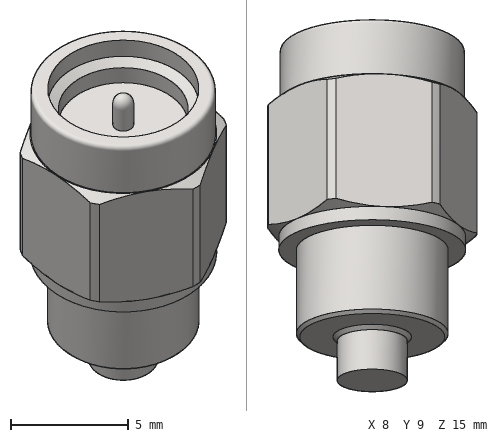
import cadquery as cq
import math

TOTAL_HEIGHT = 15
BODY_BOTTOM = 1.96
COLLAR_BOTTOM = 5.9
HEX_BOTTOM = 6.5
HEX_TOP = 12.5

CABLE_RADIUS = 1.5
BODY_RADIUS = 6.5 / 2
SLEEVE_RADIUS = 3.95
BODY_CHAMFER = 0.15
NECK_FLARE = 0.18
SLEEVE_FILLET = 0.2

HEX_SIDES = 6
HEX_ACROSS_FLATS = 8.0
HEX_CORNER_RADIUS = 4.5
HEX_CHAMFER_ANGLE = 30
COLLAR_RADIUS = HEX_ACROSS_FLATS / 2

SOCKET_RADIUS = 3.22
SOCKET_SEAT_RADIUS = 2.78
SOCKET_SEAT_ANGLE = 30
SOCKET_STEP_DEPTH = 0.9
SOCKET_DEPTH = 2.0

PIN_RADIUS = 0.45
PIN_TIP_DEPTH = 0.38


def revolve_profile(points):
    """Turn a closed (radius, height) outline about the Z axis."""
    profile = cq.Workplane("XZ").polyline(points).close()
    return profile.revolve(360, (0, 0, 0), (0, 1, 0))


def turned_body():
    """Cable stub, flared neck, body, collar and sleeve with its rounded rim."""
    body = revolve_profile([
        (0, 0),
        (CABLE_RADIUS, 0),
        (CABLE_RADIUS, BODY_BOTTOM - NECK_FLARE),
        (CABLE_RADIUS + NECK_FLARE, BODY_BOTTOM),
        (BODY_RADIUS - BODY_CHAMFER, BODY_BOTTOM),
        (BODY_RADIUS, BODY_BOTTOM + BODY_CHAMFER),
        (BODY_RADIUS, COLLAR_BOTTOM),
        (COLLAR_RADIUS, COLLAR_BOTTOM),
        (COLLAR_RADIUS, HEX_BOTTOM),
        (SLEEVE_RADIUS, HEX_BOTTOM),
        (SLEEVE_RADIUS, TOTAL_HEIGHT),
        (0, TOTAL_HEIGHT),
    ])
    return body.faces(">Z").edges().fillet(SLEEVE_FILLET)


def hex_nut():
    """Hexagon with flats facing +X and -X, trimmed by a turned, chamfered blank."""
    half_side_angle = 180 / HEX_SIDES
    corner_diameter = HEX_ACROSS_FLATS / math.cos(math.radians(half_side_angle))
    hexagon = (
        cq.Workplane("XY")
        .workplane(offset=HEX_BOTTOM)
        .polygon(HEX_SIDES, corner_diameter)
        .extrude(HEX_TOP - HEX_BOTTOM)
        .rotate((0, 0, 0), (0, 0, 1), half_side_angle)
    )
    chamfer_width = HEX_CORNER_RADIUS - COLLAR_RADIUS
    chamfer_height = chamfer_width * math.tan(math.radians(HEX_CHAMFER_ANGLE))
    blank = revolve_profile([
        (0, HEX_BOTTOM),
        (COLLAR_RADIUS, HEX_BOTTOM),
        (HEX_CORNER_RADIUS, HEX_BOTTOM + chamfer_height),
        (HEX_CORNER_RADIUS, HEX_TOP - chamfer_height),
        (COLLAR_RADIUS, HEX_TOP),
        (0, HEX_TOP),
    ])
    return hexagon.intersect(blank)


def socket():
    """Bore that narrows through a conical seat to a flat floor."""
    step_height = TOTAL_HEIGHT - SOCKET_STEP_DEPTH
    seat_drop = (SOCKET_RADIUS - SOCKET_SEAT_RADIUS) * math.tan(math.radians(SOCKET_SEAT_ANGLE))
    floor_height = TOTAL_HEIGHT - SOCKET_DEPTH
    return revolve_profile([
        (0, floor_height),
        (SOCKET_SEAT_RADIUS, floor_height),
        (SOCKET_SEAT_RADIUS, step_height - seat_drop),
        (SOCKET_RADIUS, step_height),
        (SOCKET_RADIUS, TOTAL_HEIGHT),
        (0, TOTAL_HEIGHT),
    ])


def centre_pin():
    """Pin rooted at the top of the nut, below the socket floor, with a hemispherical tip."""
    tip_height = TOTAL_HEIGHT - PIN_TIP_DEPTH
    dome_centre = tip_height - PIN_RADIUS
    dome_mid = PIN_RADIUS * math.sqrt(0.5)
    return (
        cq.Workplane("XZ")
        .moveTo(0, HEX_TOP)
        .lineTo(PIN_RADIUS, HEX_TOP)
        .lineTo(PIN_RADIUS, dome_centre)
        .threePointArc((dome_mid, dome_centre + dome_mid), (0, tip_height))
        .close()
        .revolve(360, (0, 0, 0), (0, 1, 0))
    )


result = turned_body().union(hex_nut()).cut(socket()).union(centre_pin())